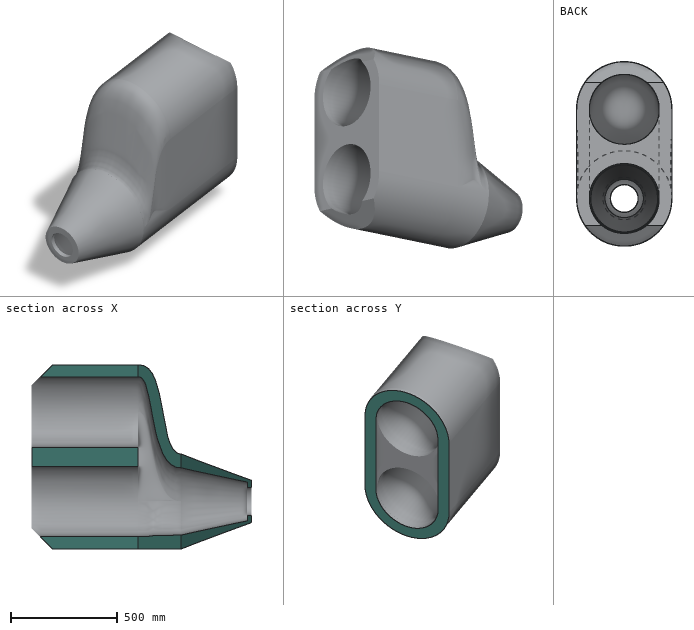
import cadquery as cq
import math

LENGTH = 1037.0
WIDTH = 450.0
HEIGHT = 870.0
OUTER_RADIUS = WIDTH / 2
RISE = HEIGHT - WIDTH

NOZZLE_LENGTH = 333.0
ADAPTER_LENGTH = 203.0
ADAPTER_FRONT = NOZZLE_LENGTH
ADAPTER_BACK = ADAPTER_FRONT + ADAPTER_LENGTH
BLOCK_LENGTH = LENGTH - ADAPTER_BACK

CAVITY_RADIUS = 330.0 / 2
BLOCK_CHAMFER = 98.0

RIM_LENGTH = 5.0
HOOD_LENGTH = ADAPTER_LENGTH - RIM_LENGTH
HOOD_WAIST = 6.0
OUTER_BACK_PULL = 141.0
OUTER_FRONT_PULL = 110.0
INNER_BACK_PULL = 73.0
INNER_FRONT_PULL = 156.0
HOOD_STEPS = 12
LAST_STRAIGHT_SIDE = 0.1

TIP_RADIUS = 200.0 / 2
BORE_RADIUS = 130.0 / 2
LIP_LENGTH = 21.0
NOZZLE_CAVITY_TIP_RADIUS = 180.0 / 2
NOZZLE_CAVITY_BASE_RADIUS = 315.0 / 2


def obround_wire(y, radius, rise):
    """Upright obround at station y, with its lower arc centred on the Y axis."""
    return (
        cq.Workplane("XZ", origin=(0, y, 0))
        .moveTo(-radius, 0)
        .threePointArc((0, -radius), (radius, 0))
        .lineTo(radius, rise)
        .threePointArc((0, rise + radius), (-radius, rise))
        .close()
        .val()
    )


def arch_wire(y, radius, rise):
    """Arch at station y: a flat base through the Y axis, straight sides and an upper arc."""
    return (
        cq.Workplane("XZ", origin=(0, y, 0))
        .moveTo(-radius, 0)
        .lineTo(radius, 0)
        .lineTo(radius, rise)
        .threePointArc((0, rise + radius), (-radius, rise))
        .close()
        .val()
    )


def obround_prism(y, length, radius):
    wire = obround_wire(y, radius, RISE)
    return cq.Workplane(cq.Solid.extrudeLinear(wire, [], cq.Vector(0, length, 0)))


def y_cylinder(y, length, radius):
    return cq.Workplane("XZ", origin=(0, y, 0)).circle(radius).extrude(-length)


def hood(section, back_radius, front_radius, back_pull, front_pull, waist):
    """Loft whose sections lose their straight sides along a cubic Bezier top line."""
    sections = []
    for step in range(HOOD_STEPS + 1):
        u = step / HOOD_STEPS
        travel = (
            3 * (1 - u) ** 2 * u * back_pull
            + 3 * (1 - u) * u ** 2 * (HOOD_LENGTH - front_pull)
            + u ** 3 * HOOD_LENGTH
        )
        blend = u ** 2 * (3 - 2 * u)
        radius = back_radius + (front_radius - back_radius) * blend
        radius -= waist * math.sin(math.pi * u) ** 2
        rise = max(RISE * (1 - blend), LAST_STRAIGHT_SIDE)
        top_rise = rise + back_radius + (front_radius - back_radius) * blend - radius
        sections.append(section(ADAPTER_BACK - RIM_LENGTH - travel, radius, top_rise))
    return cq.Workplane(cq.Solid.makeLoft(sections))


def make_block():
    body = obround_prism(ADAPTER_BACK, BLOCK_LENGTH, OUTER_RADIUS)
    top = RISE + OUTER_RADIUS
    bottom = -OUTER_RADIUS
    for edge_z, inward in ((top, -1), (bottom, 1)):
        corner = (
            cq.Workplane("YZ")
            .moveTo(LENGTH, edge_z)
            .lineTo(LENGTH - BLOCK_CHAMFER, edge_z)
            .lineTo(LENGTH, edge_z + inward * BLOCK_CHAMFER)
            .close()
            .extrude(OUTER_RADIUS, both=True)
        )
        body = body.cut(corner)
    lower_bore = y_cylinder(ADAPTER_BACK, BLOCK_LENGTH, CAVITY_RADIUS)
    upper_bore = lower_bore.translate((0, 0, RISE))
    return body.cut(lower_bore).cut(upper_bore)


def make_adapter():
    rim_front = ADAPTER_BACK - RIM_LENGTH
    outside = (
        hood(arch_wire, OUTER_RADIUS, OUTER_RADIUS, OUTER_BACK_PULL, OUTER_FRONT_PULL, HOOD_WAIST)
        .union(obround_prism(rim_front, RIM_LENGTH, OUTER_RADIUS))
        .union(y_cylinder(ADAPTER_FRONT, ADAPTER_LENGTH, OUTER_RADIUS))
    )
    inside = hood(
        obround_wire, CAVITY_RADIUS, NOZZLE_CAVITY_BASE_RADIUS, INNER_BACK_PULL, INNER_FRONT_PULL, 0
    )
    return outside.cut(inside).cut(obround_prism(rim_front, RIM_LENGTH, CAVITY_RADIUS))


def make_nozzle():
    return (
        cq.Workplane("XY")
        .moveTo(BORE_RADIUS, 0)
        .lineTo(TIP_RADIUS, 0)
        .lineTo(OUTER_RADIUS, NOZZLE_LENGTH)
        .lineTo(NOZZLE_CAVITY_BASE_RADIUS, NOZZLE_LENGTH)
        .lineTo(NOZZLE_CAVITY_TIP_RADIUS, LIP_LENGTH)
        .lineTo(BORE_RADIUS, LIP_LENGTH)
        .close()
        .revolve(360, (0, 0, 0), (0, 1, 0))
    )


block = make_block()
adapter = make_adapter()
nozzle = make_nozzle()

result = cq.Compound.makeCompound([block.val(), adapter.val(), nozzle.val()])